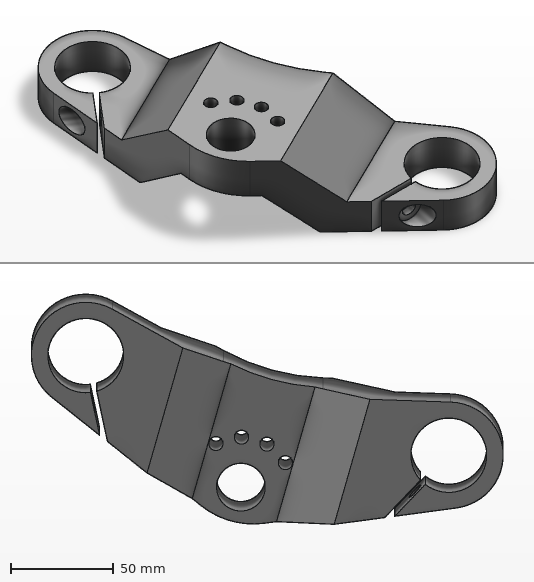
import cadquery as cq
import math

length = 237.7
height = 48.0
clamp_radius = 26.6
clamp_x = length / 2 - clamp_radius
clamp_bore_diameter = 37.0

arm_thickness = 20.0
crown_thickness = 23.0
crown_half_width = 29.7
slope_foot_x = 59.5
under_crown_half_width = 21.5
underside_foot_x = 47.5

nose_radius = 40.2
nose_y = -65.4
nose_center_y = nose_y + nose_radius
back_radius = 107.0
back_y = 8.0
back_center_y = back_y + back_radius

stem_y = -47.8
stem_diameter = 23.8
small_hole_diameter = 7.0
small_hole_circle_radius = 25.0
small_hole_angles = (45, 75, 105, 135)

slot_width = 3.0
slot_length = 47.5
slot_angle = 62.5
bolt_angle = 31.0
bolt_seat_x = 7.0
bolt_seat_y = -26.0
bolt_z = arm_thickness / 2
counterbore_diameter = 14.7
counterbore_length = 28.5
bolt_diameter = 8.0
bolt_hole_depth = 25.2


def polar(center, radius, angle):
    """Point on a circle, with the angle in radians."""
    return (center[0] + radius * math.cos(angle), center[1] + radius * math.sin(angle))


def mirror_x(point):
    return (-point[0], point[1])


def make_plan():
    """Plate outline made of arcs joined by their common tangents."""
    clamp = (clamp_x, 0)
    nose = (0, nose_center_y)
    back = (0, back_center_y)

    nose_distance = math.hypot(clamp_x, nose_center_y)
    front_slope = math.atan2(-nose_center_y, clamp_x)
    front_slope += math.asin((nose_radius - clamp_radius) / nose_distance)
    front_normal = front_slope - math.pi / 2
    nose_end = polar(nose, nose_radius, front_normal)
    clamp_front = polar(clamp, clamp_radius, front_normal)

    back_distance = math.hypot(clamp_x, back_center_y)
    back_slope = math.asin((clamp_radius + back_radius) / back_distance)
    back_slope -= math.atan2(back_center_y, clamp_x)
    back_normal = math.pi / 2 + back_slope
    clamp_back = polar(clamp, clamp_radius, back_normal)
    back_end = polar(back, back_radius, back_normal + math.pi)

    return (
        cq.Workplane("XY")
        .moveTo(*mirror_x(nose_end))
        .threePointArc((0, nose_y), nose_end)
        .lineTo(*clamp_front)
        .threePointArc((length / 2, 0), clamp_back)
        .lineTo(*back_end)
        .threePointArc((0, back_y), mirror_x(back_end))
        .lineTo(*mirror_x(clamp_back))
        .threePointArc((-length / 2, 0), mirror_x(clamp_front))
        .close()
        .extrude(height)
    )


def make_bridge():
    """Raised bridge profile, extruded past both edges of the plan."""
    right_side = [
        (under_crown_half_width, height - crown_thickness),
        (underside_foot_x, 0),
        (length / 2, 0),
        (length / 2, arm_thickness),
        (slope_foot_x, arm_thickness),
        (crown_half_width, height),
    ]
    left_side = [mirror_x(point) for point in reversed(right_side)]
    return cq.Workplane("XZ").polyline(right_side + left_side).close().extrude(length, both=True)


def make_crown_holes():
    small_points = [
        polar((0, stem_y), small_hole_circle_radius, math.radians(angle))
        for angle in small_hole_angles
    ]
    stem = cq.Workplane("XY").center(0, stem_y).circle(stem_diameter / 2).extrude(height)
    small = cq.Workplane("XY").pushPoints(small_points).circle(small_hole_diameter / 2).extrude(height)
    return stem.union(small)


def make_clamp_cut():
    """Bore, slot and pinch bolt hole of the left clamp."""
    bore = cq.Workplane("XY").circle(clamp_bore_diameter / 2).extrude(arm_thickness)
    slot = cq.Workplane("XY").rect(slot_length, slot_width).extrude(arm_thickness)
    slot = slot.translate((slot_length / 2, 0, 0)).rotate((0, 0, 0), (0, 0, 1), -slot_angle)

    seat = cq.Vector(bolt_seat_x, bolt_seat_y, bolt_z)
    inward = cq.Vector(*polar((0, 0), 1, math.radians(bolt_angle)), 0)
    counterbore = cq.Solid.makeCylinder(counterbore_diameter / 2, counterbore_length, seat, -inward)
    bolt_hole = cq.Solid.makeCylinder(bolt_diameter / 2, bolt_hole_depth, seat, inward)

    cut = bore.union(slot).union(counterbore).union(bolt_hole)
    return cut.translate((-clamp_x, 0, 0))


left_clamp_cut = make_clamp_cut()
result = make_plan().intersect(make_bridge()).cut(make_crown_holes())
result = result.cut(left_clamp_cut).cut(left_clamp_cut.mirror("YZ"))